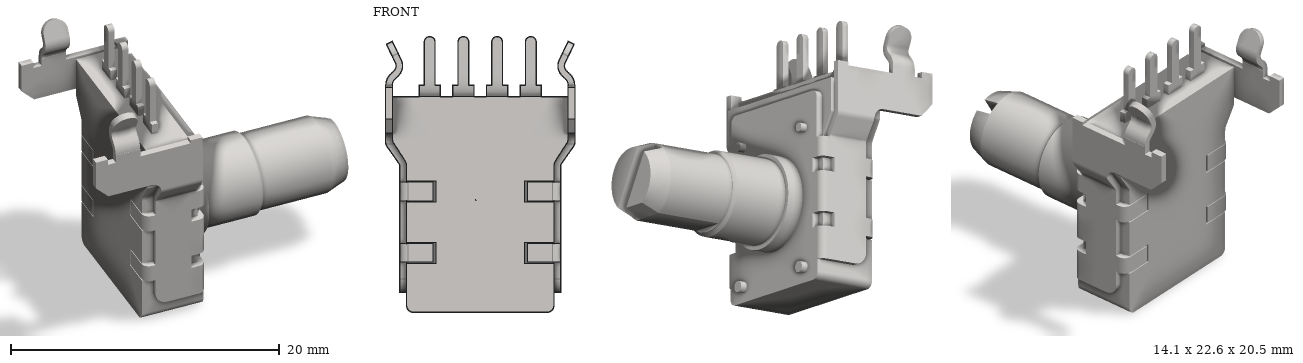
import cadquery as cq
import math


FAR = 45.2
PICK = 0.02
HAIR = 0.002

HOUSING_DEPTH = 4.52
HOUSING_HEIGHT = 16.05
WIDE_HALF = 6.5
NARROW_HALF = 5.5
SLANT_TOP_Z = 12.7
SLANT_BOTTOM_Z = 11.12
LIP_DEPTH = 0.97
LIP_DROP = 0.77
BOTTOM_CORNER = 0.55

SHEET = 0.5
SHEET_OUTER_HALF = NARROW_HALF + SHEET
WING_OUTER_HALF = 7.05
PLATE_FRONT_Y = HOUSING_DEPTH + SHEET
PLATE_HALF = 5.38
PLATE_TOP_Z = 14.5
PLATE_CORNER = 0.55
TIGHT_BEND = 0.23
WIDE_BEND = 0.68
BEND_OUTER = 0.55
SIDE_BOTTOM_Z = 1.5
BEND_TOP_Z = 10.87
SIDE_BACK_Y = 0.9
SIDE_CORNER = 1.0
OUTER_SLANT_TOP_Z = 12.5
OUTER_SLANT_BOTTOM_Z = 10.98

WING_FRONT_Y = 4.25
WING_BACK_Y = -4.43
WING_BOTTOM_Z = 13.35
WING_TOP_Z = 16.25
WING_BEVEL = 1.02
WING_FILLET = 0.81
FRONT_EAR_LENGTH = 0.97
FRONT_EAR_RISE = 0.27
BACK_EAR_LENGTH = 0.97
BACK_EAR_RISE = 0.47

SPRING_FRONT_Y = -0.81
SPRING_WIDTH = 2.0
SPRING_FOOT_RISE = 0.65
SPRING_OUT_ANGLE = 45.0
SPRING_IN_ANGLE = 26.0
SPRING_LOWER_RADIUS = 0.85
SPRING_UPPER_RADIUS = 0.77
SPRING_MIDDLE_LENGTH = 0.4
SPRING_TIP_LENGTH = 1.54

TAB_HEIGHT = 1.38
TAB_CENTRES_Z = (4.43, 9.0)
TAB_END_HALF = 3.5
TAB_BEND = 0.63
RECESS_END_HALF = 3.3
RECESS_HEIGHT = 1.55

SLOT_HEIGHT = 1.1
SLOT_CENTRES_Z = (4.57, 8.8)
SLOT_BACK_Y = 3.82
SLOT_END_HALF = 4.85

PEG_X = 3.85
PEG_LENGTH = 0.55
PEG_SPOTS = ((1.15, 0.43), (11.85, 0.35))

PIN_COUNT = 4
PIN_PITCH = 2.5
PIN_Y = 1.5
PIN_THICKNESS = 0.5
PIN_BASE_WIDTH = 1.58
PIN_BASE_HEIGHT = 0.85
PIN_WIDTH = 0.81
PIN_TOP_Z = 20.52

AXIS_Z = 6.73
FLANGE_RADIUS = 3.62
FLANGE_FRONT_Y = 6.33
BUSHING_RADIUS = 3.25
BUSHING_FRONT_Y = 11.03
BUSHING_CHAMFER = 0.25
SHAFT_RADIUS = 2.98
SHAFT_TIP_Y = 18.17
FLAT_START_Y = 11.15
FLAT_OFFSET = 2.62
TIP_LENGTH = 1.51
TIP_INSET = 0.52
FLAT_TIP_INSET = 0.59
SCREW_SLOT_WIDTH = 1.02
SCREW_SLOT_TILT = 30.0


def box(x_range, y_range, z_range):
    """Axis-aligned block from its three pairs of limits."""
    size = [high - low for low, high in (x_range, y_range, z_range)]
    return cq.Workplane("XY").box(*size, centered=False).translate((x_range[0], y_range[0], z_range[0]))


def both_sides(solid):
    """A left-hand shape together with its mirror image across X = 0."""
    return solid.union(solid.mirror("YZ"))


def centred(middle, length):
    """Limits of a length about its middle."""
    return (middle - length / 2, middle + length / 2)


def polar(origin, radius, angle):
    """Point at a radius and angle (radians) from an origin."""
    return (origin[0] + radius * math.cos(angle), origin[1] + radius * math.sin(angle))


def along_y(start_y):
    """XZ sketch plane at start_y that extrudes towards +Y, with X mirrored."""
    return cq.Workplane(cq.Plane((0, start_y, 0), xDir=(-1, 0, 0), normal=(0, 1, 0)))


def round_edges_at(body, z, radius):
    """Fillet the edges that run along Y at one height."""
    nearby = cq.selectors.BoxSelector((-FAR, -FAR, z - PICK), (FAR, FAR, z + PICK))
    return body.edges("|Y").edges(nearby).fillet(radius)


def pegs():
    """The cylinders that stand on the housing front and pass through the plate."""
    cylinders = cq.Workplane("XY")
    for z, radius in PEG_SPOTS:
        spots = along_y(HOUSING_DEPTH).pushPoints([(-PEG_X, z), (PEG_X, z)])
        cylinders = cylinders.union(spots.circle(radius).extrude(SHEET + PEG_LENGTH))
    return cylinders


def make_housing():
    outline = [
        (-NARROW_HALF, 0),
        (NARROW_HALF, 0),
        (NARROW_HALF, SLANT_BOTTOM_Z),
        (WIDE_HALF, SLANT_TOP_Z),
        (WIDE_HALF, HOUSING_HEIGHT),
        (-WIDE_HALF, HOUSING_HEIGHT),
        (-WIDE_HALF, SLANT_TOP_Z),
        (-NARROW_HALF, SLANT_BOTTOM_Z),
    ]
    body = along_y(0).polyline(outline).close().extrude(HOUSING_DEPTH)
    body = round_edges_at(body, SLANT_BOTTOM_Z, WIDE_BEND)
    body = round_edges_at(body, SLANT_TOP_Z, TIGHT_BEND)
    body = round_edges_at(body, 0, BOTTOM_CORNER)
    body = body.cut(box(
        (-FAR, FAR),
        (HOUSING_DEPTH - LIP_DEPTH, FAR),
        (HOUSING_HEIGHT - LIP_DROP, FAR),
    ))
    for z in TAB_CENTRES_Z:
        recess = box((-NARROW_HALF, -RECESS_END_HALF), (0, SHEET), centred(z, RECESS_HEIGHT))
        body = body.cut(both_sides(recess))
    return body.union(pegs())


def make_plate():
    """Front plate of the frame, rounded at its four corners."""
    depth = (HOUSING_DEPTH, PLATE_FRONT_Y)
    upper = box((-PLATE_HALF, PLATE_HALF), depth, (SIDE_BOTTOM_Z, PLATE_TOP_Z))
    upper = upper.edges("|Y and >Z").fillet(PLATE_CORNER)
    lower = box((-NARROW_HALF, NARROW_HALF), depth, (0, BEND_TOP_Z))
    lower = lower.edges("|Y and <Z").fillet(BOTTOM_CORNER)
    return upper.union(lower)


def make_channel():
    """The stretch where the plate bends back into both side walls."""
    heights = (SIDE_BOTTOM_Z, BEND_TOP_Z)
    channel = box((-SHEET_OUTER_HALF, SHEET_OUTER_HALF), (SIDE_BACK_Y, PLATE_FRONT_Y), heights)
    channel = channel.edges("|Z and >Y").fillet(BEND_OUTER)
    return channel.cut(box((-NARROW_HALF, NARROW_HALF), (0, HOUSING_DEPTH), heights))


def make_side_sheet():
    """Left side wall and wing: the bent cross-section trimmed to the outline seen along X."""
    wing_section = [
        (NARROW_HALF, SIDE_BOTTOM_Z),
        (NARROW_HALF, SLANT_BOTTOM_Z),
        (WIDE_HALF, SLANT_TOP_Z),
        (WIDE_HALF, FAR),
        (WING_OUTER_HALF, FAR),
        (WING_OUTER_HALF, OUTER_SLANT_TOP_Z),
        (SHEET_OUTER_HALF, OUTER_SLANT_BOTTOM_Z),
        (SHEET_OUTER_HALF, SIDE_BOTTOM_Z),
    ]
    sheet = along_y(WING_BACK_Y).polyline(wing_section).close().extrude(WING_FRONT_Y - WING_BACK_Y)
    sheet = round_edges_at(sheet, SLANT_BOTTOM_Z, WIDE_BEND)
    sheet = round_edges_at(sheet, SLANT_TOP_Z, TIGHT_BEND)
    sheet = round_edges_at(sheet, OUTER_SLANT_TOP_Z, WIDE_BEND)
    sheet = round_edges_at(sheet, OUTER_SLANT_BOTTOM_Z, TIGHT_BEND)

    wing_outline = [
        (WING_FRONT_Y, SIDE_BOTTOM_Z),
        (WING_FRONT_Y, WING_TOP_Z + FRONT_EAR_RISE),
        (WING_FRONT_Y - FRONT_EAR_LENGTH, WING_TOP_Z + FRONT_EAR_RISE),
        (WING_FRONT_Y - FRONT_EAR_LENGTH, WING_TOP_Z),
        (WING_BACK_Y + BACK_EAR_LENGTH, WING_TOP_Z),
        (WING_BACK_Y + BACK_EAR_LENGTH, WING_TOP_Z + BACK_EAR_RISE),
        (WING_BACK_Y, WING_TOP_Z + BACK_EAR_RISE),
        (WING_BACK_Y, WING_BOTTOM_Z + WING_BEVEL),
        (WING_BACK_Y + WING_BEVEL, WING_BOTTOM_Z),
        (SIDE_BACK_Y, WING_BOTTOM_Z),
        (SIDE_BACK_Y, SIDE_BOTTOM_Z),
    ]
    trim = cq.Workplane("YZ").polyline(wing_outline).close().extrude(-FAR)
    inner_corner = cq.selectors.NearestToPointSelector((-FAR / 2, SIDE_BACK_Y, WING_BOTTOM_Z))
    trim = trim.edges("|X").edges(inner_corner).fillet(WING_FILLET)
    return sheet.intersect(trim)


def make_spring():
    """Left snap spring: a strip swept along a foot, two opposite bends and a rounded tip."""
    half = SHEET / 2
    out = math.radians(SPRING_OUT_ANGLE)
    back = math.radians(SPRING_IN_ANGLE)
    foot = (-(WIDE_HALF + WING_OUTER_HALF) / 2, WING_TOP_Z + SPRING_FOOT_RISE)
    lower_centre = (foot[0] + SPRING_LOWER_RADIUS, foot[1])
    lower_end = polar(lower_centre, SPRING_LOWER_RADIUS, math.pi - out)
    upper_start = polar(lower_end, SPRING_MIDDLE_LENGTH, math.pi / 2 - out)
    upper_centre = polar(upper_start, SPRING_UPPER_RADIUS, math.pi - out)
    upper_end = polar(upper_centre, SPRING_UPPER_RADIUS, back)
    tip = polar(upper_end, SPRING_TIP_LENGTH, math.pi / 2 + back)

    def side_points(offset):
        """Corners and arc midpoints of one face, offset towards +X from the middle."""
        lower = SPRING_LOWER_RADIUS - offset
        upper = SPRING_UPPER_RADIUS + offset
        return (
            polar(lower_centre, lower, math.pi),
            polar(lower_centre, lower, math.pi - out / 2),
            polar(lower_centre, lower, math.pi - out),
            polar(upper_centre, upper, -out),
            polar(upper_centre, upper, (back - out) / 2),
            polar(upper_centre, upper, back),
            polar(tip, offset, back),
        )

    inner = side_points(half)
    outer = side_points(-half)
    strip = (
        cq.Workplane("XZ", origin=(0, SPRING_FRONT_Y, 0))
        .moveTo(*inner[0])
        .threePointArc(inner[1], inner[2])
        .lineTo(*inner[3])
        .threePointArc(inner[4], inner[5])
        .lineTo(*inner[6])
        .lineTo(*outer[6])
        .lineTo(*outer[5])
        .threePointArc(outer[4], outer[3])
        .lineTo(*outer[2])
        .threePointArc(outer[1], outer[0])
        .close()
        .extrude(SPRING_WIDTH)
    )
    tip_edges = cq.selectors.BoxSelector((-FAR, -FAR, tip[1] - half), (FAR, FAR, FAR))
    slope = cq.selectors.ParallelDirSelector(cq.Vector(math.cos(back), 0, math.sin(back)))
    strip = strip.edges(slope).edges(tip_edges).fillet(SPRING_WIDTH / 2 - HAIR)
    foot_block = box(
        (-WING_OUTER_HALF, -WIDE_HALF),
        (SPRING_FRONT_Y - SPRING_WIDTH, SPRING_FRONT_Y),
        (WING_TOP_Z, foot[1]),
    )
    return strip.union(foot_block)


def make_tab(z):
    """Left tab that folds from the side wall into a recess in the housing back."""
    heights = centred(z, TAB_HEIGHT)
    tab = box((-SHEET_OUTER_HALF, -TAB_END_HALF), (0, SIDE_BACK_Y), heights)
    tab = tab.edges("|Z and <X and <Y").fillet(TAB_BEND)
    return tab.cut(box((-NARROW_HALF, 0), (SHEET, FAR), heights))


def make_frame():
    side = make_side_sheet().union(make_spring())
    for z in TAB_CENTRES_Z:
        side = side.union(make_tab(z))
    frame = make_plate().union(make_channel()).union(both_sides(side))

    lower_corner = cq.selectors.BoxSelector(
        (-FAR, SIDE_BACK_Y - PICK, SIDE_BOTTOM_Z - PICK),
        (FAR, SIDE_BACK_Y + PICK, SIDE_BOTTOM_Z + PICK),
    )
    frame = frame.edges("|X").edges(lower_corner).fillet(SIDE_CORNER)

    for z in SLOT_CENTRES_Z:
        slot = box((-FAR, -SLOT_END_HALF), (SLOT_BACK_Y, FAR), centred(z, SLOT_HEIGHT))
        frame = frame.cut(both_sides(slot))
    return frame.cut(pegs())


def make_pin(x):
    """Flat pin with a wide foot and a fully rounded end."""
    foot_top = HOUSING_HEIGHT + PIN_BASE_HEIGHT
    thickness = centred(PIN_Y, PIN_THICKNESS)
    foot = box(centred(x, PIN_BASE_WIDTH), thickness, (HOUSING_HEIGHT, foot_top))
    stem = box(centred(x, PIN_WIDTH), thickness, (HOUSING_HEIGHT, PIN_TOP_Z - PIN_WIDTH / 2))
    end = (
        along_y(thickness[0])
        .center(-x, PIN_TOP_Z - PIN_WIDTH / 2)
        .circle(PIN_WIDTH / 2)
        .extrude(PIN_THICKNESS)
    )
    return foot.union(stem).union(end)


def rod(radius, start_y, end_y):
    """Cylinder on the shaft axis."""
    return along_y(start_y).center(0, AXIS_Z).circle(radius).extrude(end_y - start_y)


def make_bushing():
    barrel = rod(BUSHING_RADIUS, PLATE_FRONT_Y, BUSHING_FRONT_Y).faces(">Y").chamfer(BUSHING_CHAMFER)
    flange = rod(FLANGE_RADIUS, PLATE_FRONT_Y, FLANGE_FRONT_Y)
    bore = rod(SHAFT_RADIUS, PLATE_FRONT_Y, BUSHING_FRONT_Y)
    return barrel.union(flange).cut(bore)


def make_shaft():
    tip_start_y = SHAFT_TIP_Y - TIP_LENGTH
    half_outline = [
        (0, PLATE_FRONT_Y),
        (SHAFT_RADIUS, PLATE_FRONT_Y),
        (SHAFT_RADIUS, tip_start_y),
        (SHAFT_RADIUS - TIP_INSET, SHAFT_TIP_Y),
        (0, SHAFT_TIP_Y),
    ]
    shaft = cq.Workplane("XY").polyline(half_outline).close().revolve(360, (0, 0), (0, 1))
    shaft = shaft.translate((0, 0, AXIS_Z))

    flat_z = AXIS_Z - FLAT_OFFSET
    flat_outline = [
        (FLAT_START_Y, flat_z),
        (tip_start_y, flat_z),
        (SHAFT_TIP_Y, flat_z + FLAT_TIP_INSET),
        (SHAFT_TIP_Y, flat_z - SHAFT_RADIUS),
        (FLAT_START_Y, flat_z - SHAFT_RADIUS),
    ]
    flat = cq.Workplane("YZ").polyline(flat_outline).close().extrude(SHAFT_RADIUS, both=True)
    shaft = shaft.cut(flat)

    screw_slot = box(
        centred(0, SCREW_SLOT_WIDTH),
        (tip_start_y, SHAFT_TIP_Y),
        centred(AXIS_Z, 2 * BUSHING_RADIUS),
    )
    screw_slot = screw_slot.rotate((0, 0, AXIS_Z), (0, 1, AXIS_Z), -SCREW_SLOT_TILT)
    return shaft.cut(screw_slot)


housing = make_housing()
frame = make_frame()
bushing = make_bushing()
shaft = make_shaft()
pins = [make_pin((i - (PIN_COUNT - 1) / 2) * PIN_PITCH) for i in range(PIN_COUNT)]

result = cq.Compound.makeCompound([
    housing.val(),
    frame.val(),
    bushing.val(),
    shaft.val(),
    *[pin.val() for pin in pins],
])